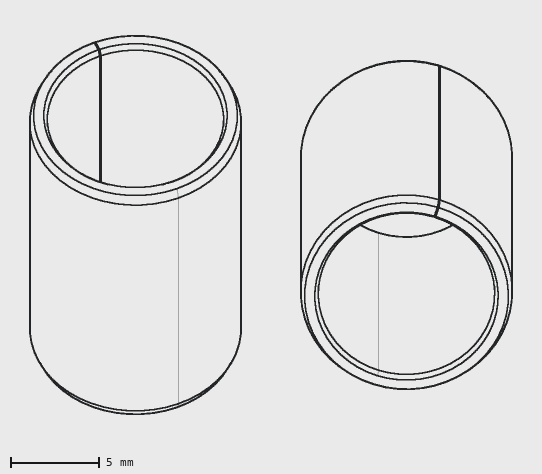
import cadquery as cq

length = 20
outer_diameter = 12
bore_diameter = 10
outer_chamfer_height = 0.6
outer_chamfer_depth = 0.22
bore_chamfer_height = 0.35
bore_chamfer_depth = 0.2
seam_width = 0.08

outer_radius = outer_diameter / 2
bore_radius = bore_diameter / 2
half_length = length / 2

wall_section = (
    cq.Workplane("XZ")
    .moveTo(bore_radius, -half_length + bore_chamfer_height)
    .lineTo(bore_radius + bore_chamfer_depth, -half_length)
    .lineTo(outer_radius - outer_chamfer_depth, -half_length)
    .lineTo(outer_radius, -half_length + outer_chamfer_height)
    .lineTo(outer_radius, half_length - outer_chamfer_height)
    .lineTo(outer_radius - outer_chamfer_depth, half_length)
    .lineTo(bore_radius + bore_chamfer_depth, half_length)
    .lineTo(bore_radius, half_length - bore_chamfer_height)
    .close()
)
sleeve = wall_section.revolve(360, (0, 0, 0), (0, 1, 0))

seam = cq.Workplane("XY").box(outer_radius, seam_width, length, centered=(False, False, True))
seam = seam.translate((-outer_radius, 0, 0))

result = sleeve.cut(seam)